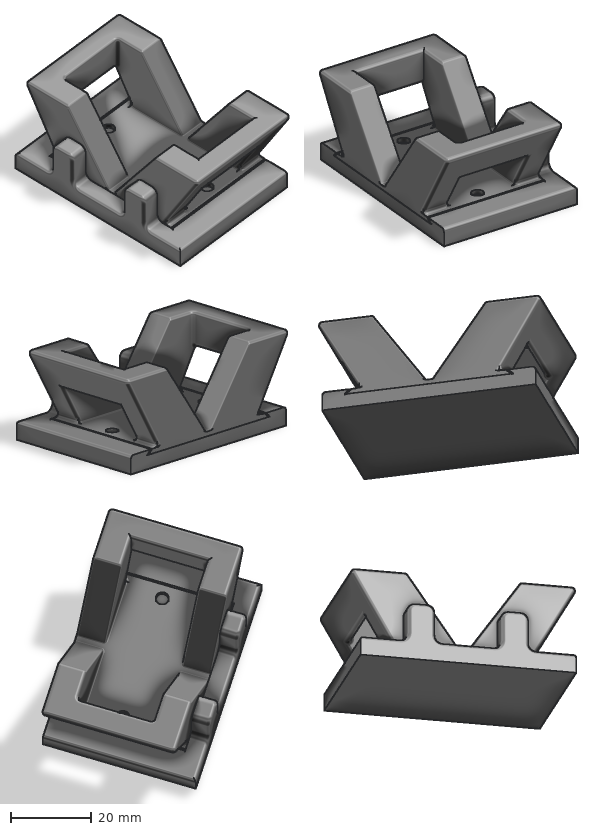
import cadquery as cq
import math

total_height = 25.0
cradle_length = 57.4
base_length = 55.3
base_width = 40.0
floor_height = 5.0

edge_radius = 1.0
fine_radius = 0.5
tab_radius = 2.0

tab_depth = 5.0
tab_width = 7.0
tab_height = 15.05
tab_spacing = 24.0

foot_thickness = 1.25
foot_top_length = 40.2
dovetail_angle = 45.0
dovetail_gap = 0.45

outer_lean = 30.0
inner_lean = 35.0
inner_foot_gap = 1.5
opening_length = 45.05
opening_width = 20.0
hole_diameter = 3.3
hole_spacing = 33.05

margin = 0.3
foot_overrun = 2.85

base_front = -base_width / 2
base_back = base_width / 2
cradle_front = base_front + tab_depth
cradle_width = base_back - cradle_front
cradle_middle = (cradle_front + base_back) / 2
foot_bottom = floor_height - foot_thickness
side_height = total_height - floor_height

corner_half_angle = math.radians((90 - outer_lean) / 2)
outer_top = cradle_length / 2 - edge_radius + edge_radius / math.tan(corner_half_angle)
outer_foot = outer_top - side_height * math.tan(math.radians(outer_lean))
inner_foot = inner_foot_gap / 2
inner_top = inner_foot + side_height * math.tan(math.radians(inner_lean))

foot_fillet_split = outer_foot + fine_radius / 2


def box_between(low, high):
    """Box from its lowest to its highest corner."""
    sizes = [upper - lower for lower, upper in zip(low, high)]
    return cq.Workplane("XY").box(*sizes, centered=False).translate(low)


def dovetail(top_length, overrun=0):
    """Bar along the joint, wider at its bottom; overrun lengthens it beyond the joint at both ends."""
    half_top = top_length / 2
    half_bottom = half_top + foot_thickness * math.tan(math.radians(dovetail_angle))
    return (
        cq.Workplane("XZ", origin=(0, base_back + overrun, 0))
        .polyline([
            (-half_bottom, foot_bottom),
            (half_bottom, foot_bottom),
            (half_top, floor_height),
            (-half_top, floor_height),
        ])
        .close()
        .extrude(cradle_width + 2 * overrun)
    )


def tab_rail():
    """Front strip of the base with its two rounded tabs."""
    rail = box_between(
        (-base_length / 2, base_front, 0),
        (base_length / 2, cradle_front, floor_height),
    )
    for tab_center in (-tab_spacing / 2, tab_spacing / 2):
        tab = box_between(
            (tab_center - tab_width / 2, base_front, 0),
            (tab_center + tab_width / 2, cradle_front, tab_height),
        )
        rail = rail.union(tab)
    tab_zone = cq.selectors.BoxSelector(
        (-base_length / 2 + margin, base_front, floor_height - margin),
        (base_length / 2 - margin, cradle_front, tab_height + margin),
    )
    return rail.edges("|Y").edges(tab_zone).fillet(tab_radius)


def make_base():
    """Plate with the front tabs, its upper edges rounded except at the back, and the dovetail recess."""
    plate = box_between(
        (-base_length / 2, cradle_front, 0),
        (base_length / 2, base_back, floor_height),
    )
    base = tab_rail().union(plate).clean()
    end_edges = base.faces("<X or >X").edges(">Z")
    front_edges = base.faces("<Y").edges("not(<Z or <X or >X)")
    base = base.newObject(end_edges.vals() + front_edges.vals()).fillet(edge_radius)
    return base.cut(dovetail(foot_top_length + 2 * dovetail_gap))


def opening():
    """Upright-walled space between the legs of both sides."""
    return box_between(
        (-opening_length / 2, cradle_middle - opening_width / 2, floor_height),
        (opening_length / 2, cradle_middle + opening_width / 2, total_height),
    )


def cradle_side(direction):
    """One leaning U-shaped side with rounded edges; direction is -1 or 1 along X."""
    block = (
        cq.Workplane("XZ", origin=(0, base_back, 0))
        .polyline([
            (direction * inner_foot, floor_height),
            (direction * inner_top, total_height),
            (direction * outer_top, total_height),
            (direction * outer_foot, floor_height),
        ])
        .close()
        .extrude(cradle_width)
    )
    side = block.cut(opening())
    return round_side(side, direction)


def round_side(side, direction):
    """Round the edges of a side; only the -X side has rounded upright corners in its opening."""
    window_rim = cq.selectors.BoxSelector(
        (direction * outer_foot, cradle_middle - opening_width / 2 - margin, floor_height + margin),
        (
            direction * (opening_length / 2 + margin),
            cradle_middle + opening_width / 2 + margin,
            total_height - margin,
        ),
    )
    side = side.edges(window_rim).edges("not |Z").fillet(edge_radius)
    if direction < 0:
        side = side.edges("|Z").fillet(edge_radius)
    inner_slope = cq.Vector(direction * (inner_top - inner_foot), 0, side_height)
    along_inner_slope = cq.selectors.ParallelDirSelector(inner_slope)
    outer_edges = cq.selectors.StringSyntaxSelector("not(|Z or <Z)") - along_inner_slope
    side = side.faces(">Z or <Y or >Y").edges(outer_edges).fillet(edge_radius)
    return side.edges(along_inner_slope).fillet(fine_radius)


def side_on_foot(direction, foot_radius):
    """A side on an overlong foot, so that the fillet can run all the way round each leg."""
    foot_line = cq.selectors.BoxSelector(
        (-foot_top_length / 2 + margin, cradle_front - margin, floor_height - margin),
        (foot_top_length / 2 - margin, base_back + margin, floor_height + margin),
    )
    foot = dovetail(foot_top_length, overrun=foot_overrun)
    return foot.union(cradle_side(direction)).edges(foot_line).fillet(foot_radius)


def leg_zone(near, far):
    """Full-height slab across the cradle between two X positions."""
    return box_between(
        (min(near, far), cradle_front, foot_bottom),
        (max(near, far), base_back, total_height),
    )


def make_cradle():
    """Foot and both sides; the fillet under the lean is larger than the one along the inner foot."""
    cradle = dovetail(foot_top_length)
    for direction in (-1, 1):
        split = direction * foot_fillet_split
        inner_part = side_on_foot(direction, fine_radius).intersect(leg_zone(0, split))
        outer_end = direction * cradle_length / 2
        outer_part = side_on_foot(direction, edge_radius).intersect(leg_zone(split, outer_end))
        cradle = cradle.union(inner_part).union(outer_part)
    holes = (
        cq.Workplane("XY", origin=(0, cradle_middle, foot_bottom))
        .pushPoints([(-hole_spacing / 2, 0), (hole_spacing / 2, 0)])
        .circle(hole_diameter / 2)
        .extrude(foot_thickness)
    )
    return cradle.cut(holes)


base = make_base()
cradle = make_cradle()
result = cq.Compound.makeCompound([base.solids().val(), cradle.solids().val()])